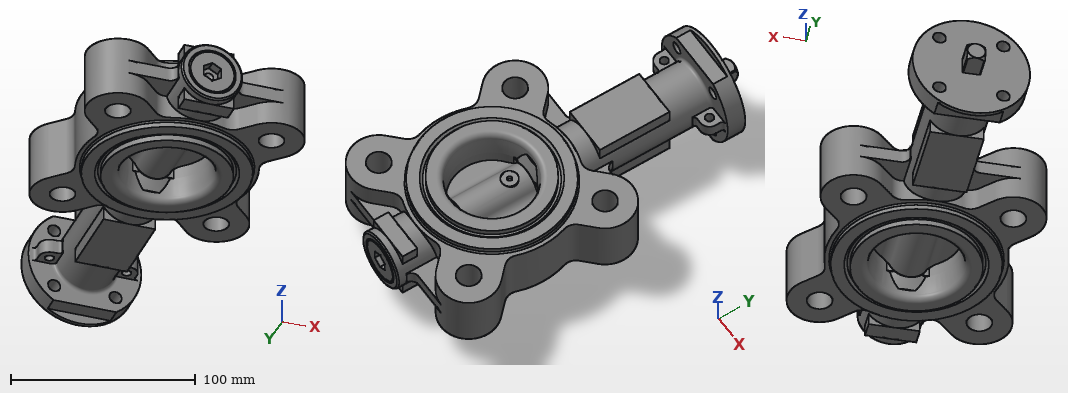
import cadquery as cq
import math


LENGTH = 229.0
WIDTH = 124.3
TOP_Y = 156.5
BOTTOM_Y = TOP_Y - LENGTH

NECK_DIA = 35.0
NECK_R = NECK_DIA / 2
BODY_R = 50.0
BODY_HALF_Z = NECK_R

BOLT_OFFSET = 44.2
LUG_R = WIDTH / 2 - BOLT_OFFSET
LUG_HOLE_DIA = 14.0
LUG_BLEND_R = 8.0
LUG_EDGE_Y = WIDTH / 2
HOLE_ANGLES = (45, 135, 225, 315)

RIB_HALF_Z = 8.0 / 2
RIB_BLEND_R = 4.5

RAISED_FACE_R = 93.0 / 2
RAISED_FACE_Z = 21.3
RAISED_FACE_FOOT = 1.0
SEAT_RECESS_R = 75.0 / 2
SEAT_RECESS_DEPTH = 1.5
SEAT_R = 72.0 / 2
SEAT_Z = 46.5 / 2

BORE_R = 25.0
BORE_MID_R = 26.3
BORE_BAND_Z = 8.7
BORE_LIP_R = 3.7
BORE_WALL_SAG = 0.2

DISC_R = 25.6
DISC_HALF_Z = 1.4
DISC_END_Y = 22.0
HUB_R = 11.2
HUB_BLEND_X = 16.0
PIN_Y = 11.5
PIN_DIA = 10.0
PIN_HOLE_DIA = 3.0
PIN_HOLE_DEPTH = 2.3

PAD_HALF_X = 12.4
PAD_FACE_R = 11.5
PAD_BASE_R = 18.8
PAD_BASE_Y = 25.9

FLANGE_R = 65.0 / 2
FLANGE_TOP_Y = 143.0
FLANGE_THICKNESS = 11.5
FLANGE_BOTTOM_Y = FLANGE_TOP_Y - FLANGE_THICKNESS
FLANGE_RIM = 2.3
FLANGE_FLAT_Z = 27.0
FLANGE_HOLE_DIA = 7.0
FLANGE_HOLE_CIRCLE_R = 25.0
FLANGE_FOOT = 2.0

EAR_X = 22.2
EAR_Y = 126.5
EAR_R = 12.1 / 2
EAR_HOLE_DIA = 5.0
EAR_BLEND_R = 1.8

STEM_SQUARE = 10.0
STEM_CORNER_DIA = 13.5
STEM_TIP_CHAMFER = 1.8

NAME_PAD_HALF_X = 14.9
NAME_PAD_Y = (60.2, 105.3)
CODE_PAD_HALF_X = 14.2
CODE_PAD_Y = (-67.3, -57.7)

END_CHAMFER = 1.0
PLUG_BORE_DIA = 27.0
PLUG_FACE_DIA = 25.0
PLUG_HEX_CORNERS = 11.5
PLUG_HEX_DEPTH = 5.7
PLUG_HOLE_DIA = 5.0
PLUG_DRILL_HALF_ANGLE = math.radians(59)


def cylinder_y(radius, y_from, y_to):
    """Cylinder on the stem axis."""
    return cq.Workplane("XZ", origin=(0, y_from, 0)).circle(radius).extrude(y_from - y_to)


def plate(sketch, half_z):
    """Extrude an XY outline symmetrically about the middle plane."""
    return sketch.extrude(half_z, both=True)


def block(half_x, y_range, half_z):
    """Box centred on X and Z, spanning a range of Y."""
    y_from, y_to = y_range
    size_y = y_to - y_from
    return cq.Workplane("XY").box(2 * half_x, size_y, 2 * half_z).translate((0, y_from + size_y / 2, 0))


def mirrored_x(shape):
    return shape.union(shape.mirror("YZ"))


def lug():
    """Lug along +X, ending in a round nose and blended into the body circle."""
    nose_x = BOLT_OFFSET * math.sqrt(2)
    blend_y = LUG_R + LUG_BLEND_R
    blend_x = math.sqrt((BODY_R + LUG_BLEND_R) ** 2 - blend_y**2)
    to_body = BODY_R / (BODY_R + LUG_BLEND_R)
    body_x = blend_x * to_body
    body_y = blend_y * to_body
    body_angle = math.atan2(blend_y, blend_x) - math.pi
    mid_angle = (body_angle - math.pi / 2) / 2
    mid_x = blend_x + LUG_BLEND_R * math.cos(mid_angle)
    mid_y = blend_y + LUG_BLEND_R * math.sin(mid_angle)
    outline = (
        cq.Workplane("XY")
        .moveTo(0, 0)
        .lineTo(body_x, body_y)
        .threePointArc((mid_x, mid_y), (blend_x, LUG_R))
        .lineTo(nose_x, LUG_R)
        .threePointArc((nose_x + LUG_R, 0), (nose_x, -LUG_R))
        .lineTo(blend_x, -LUG_R)
        .threePointArc((mid_x, -mid_y), (body_x, -body_y))
        .close()
    )
    return plate(outline, BODY_HALF_Z)


def body():
    solid = plate(cq.Workplane("XY").circle(BODY_R), BODY_HALF_Z)
    for angle in HOLE_ANGLES:
        solid = solid.union(lug().rotate((0, 0, 0), (0, 0, 1), angle))
    return solid


def lug_holes():
    centres = cq.Workplane("XY").rect(2 * BOLT_OFFSET, 2 * BOLT_OFFSET, forConstruction=True).vertices()
    return plate(centres.circle(LUG_HOLE_DIA / 2), BODY_HALF_Z)


def ribs():
    """Thin webs between the lugs, flared where they meet the neck."""
    web = block(BOLT_OFFSET, (BOLT_OFFSET, LUG_EDGE_Y), RIB_HALF_Z)
    flare = plate(
        cq.Workplane("XY")
        .moveTo(0, LUG_EDGE_Y)
        .lineTo(NECK_R + RIB_BLEND_R, LUG_EDGE_Y)
        .radiusArc((NECK_R, LUG_EDGE_Y + RIB_BLEND_R), RIB_BLEND_R)
        .lineTo(0, LUG_EDGE_Y + RIB_BLEND_R)
        .close(),
        RIB_HALF_Z,
    )
    upper = web.union(mirrored_x(flare))
    return upper.union(upper.mirror("XZ"))


def raised_faces():
    foot_z = BODY_HALF_Z + RAISED_FACE_FOOT
    recess_z = RAISED_FACE_Z - SEAT_RECESS_DEPTH
    recess_top_r = SEAT_RECESS_R + SEAT_RECESS_DEPTH
    upper = (
        cq.Workplane("XZ")
        .moveTo(0, 0)
        .lineTo(RAISED_FACE_R + RAISED_FACE_FOOT, 0)
        .lineTo(RAISED_FACE_R + RAISED_FACE_FOOT, BODY_HALF_Z)
        .lineTo(RAISED_FACE_R, foot_z)
        .lineTo(RAISED_FACE_R, RAISED_FACE_Z)
        .lineTo(recess_top_r, RAISED_FACE_Z)
        .lineTo(SEAT_RECESS_R, recess_z)
        .lineTo(SEAT_R, recess_z)
        .lineTo(SEAT_R, SEAT_Z)
        .lineTo(0, SEAT_Z)
        .close()
        .revolve(360, (0, 0), (0, 1))
    )
    return upper.union(upper.mirror("XY"))


def bore():
    """Bore with a rounded lip at each end and a narrow sealing band in the middle."""
    lip_z = SEAT_Z - BORE_LIP_R
    lip_r = BORE_MID_R + BORE_LIP_R
    wall_mid_r = (BORE_MID_R + BORE_R) / 2 - BORE_WALL_SAG
    half = (
        cq.Workplane("XZ")
        .moveTo(0, 0)
        .lineTo(BORE_R, 0)
        .lineTo(BORE_R, BORE_BAND_Z)
        .threePointArc((wall_mid_r, (BORE_BAND_Z + lip_z) / 2), (BORE_MID_R, lip_z))
        .radiusArc((lip_r, SEAT_Z), BORE_LIP_R)
        .lineTo(0, SEAT_Z)
        .close()
        .revolve(360, (0, 0), (0, 1))
    )
    return half.union(half.mirror("XY"))


def hub():
    """Round hub along Y, flowing into the disc through concave blends."""
    blend_r = (HUB_BLEND_X**2 + DISC_HALF_Z**2 - HUB_R**2) / (2 * (HUB_R - DISC_HALF_Z))
    blend_z = DISC_HALF_Z + blend_r
    to_hub = HUB_R / (HUB_R + blend_r)
    touch_x = HUB_BLEND_X * to_hub
    touch_z = blend_z * to_hub
    upper = (
        cq.Workplane("XZ", origin=(0, DISC_END_Y, 0))
        .moveTo(-HUB_BLEND_X, 0)
        .lineTo(-HUB_BLEND_X, DISC_HALF_Z)
        .radiusArc((-touch_x, touch_z), -blend_r)
        .threePointArc((0, HUB_R), (touch_x, touch_z))
        .radiusArc((HUB_BLEND_X, DISC_HALF_Z), -blend_r)
        .lineTo(HUB_BLEND_X, 0)
        .close()
        .extrude(2 * DISC_END_Y)
    )
    return upper.union(upper.mirror("XY"))


def disc():
    """Flat disc cut square at its two ends, with the hub and its retaining pin."""
    rim = plate(cq.Workplane("XY").circle(DISC_R), HUB_R)
    flat = block(DISC_R, (-DISC_END_Y, DISC_END_Y), DISC_HALF_Z)
    pin = cq.Workplane("XY", origin=(0, PIN_Y, 0)).circle(PIN_DIA / 2).extrude(HUB_R)
    pin_hole = (
        cq.Workplane("XY", origin=(0, PIN_Y, HUB_R - PIN_HOLE_DEPTH))
        .circle(PIN_HOLE_DIA / 2)
        .extrude(PIN_HOLE_DEPTH)
    )
    return flat.union(hub()).intersect(rim).union(pin).cut(pin_hole)


def bearing_pads():
    """Flats on the bore wall that close against the hub ends, with conical flanks."""
    flat = block(PAD_HALF_X, (DISC_END_Y, PAD_BASE_Y), BORE_BAND_Z)
    cone = (
        cq.Workplane("XY")
        .moveTo(0, DISC_END_Y)
        .lineTo(PAD_FACE_R, DISC_END_Y)
        .lineTo(PAD_BASE_R, PAD_BASE_Y)
        .lineTo(PAD_BASE_R, BODY_R)
        .lineTo(0, BODY_R)
        .close()
        .revolve(360, (0, 0), (0, 1))
    )
    inside = plate(cq.Workplane("XY").circle(SEAT_R), BODY_HALF_Z)
    pad = cone.union(flat).intersect(inside)
    return pad.union(pad.mirror("XZ"))


def neck():
    lower = cylinder_y(NECK_R, BOTTOM_Y, FLANGE_BOTTOM_Y).faces("<Y").chamfer(END_CHAMFER)
    name_pad = block(NAME_PAD_HALF_X, NAME_PAD_Y, NECK_R)
    code_pad = block(CODE_PAD_HALF_X, CODE_PAD_Y, NECK_R)
    return lower.union(name_pad).union(code_pad)


def plug_recesses():
    """Bevel groove around the plug face, its hexagon socket and the drilled centre."""
    bevel = (PLUG_BORE_DIA - PLUG_FACE_DIA) / 2
    groove = (
        cq.Workplane("XY")
        .moveTo(PLUG_FACE_DIA / 2, BOTTOM_Y)
        .lineTo(PLUG_BORE_DIA / 2, BOTTOM_Y)
        .lineTo(PLUG_BORE_DIA / 2, BOTTOM_Y + bevel)
        .close()
        .revolve(360, (0, 0), (0, 1))
    )
    socket = (
        cq.Workplane("XZ", origin=(0, BOTTOM_Y, 0))
        .transformed(rotate=(0, 0, 90))
        .polygon(6, PLUG_HEX_CORNERS)
        .extrude(-PLUG_HEX_DEPTH)
    )
    socket_y = BOTTOM_Y + PLUG_HEX_DEPTH
    hole_r = PLUG_HOLE_DIA / 2
    drill_depth = hole_r / math.tan(PLUG_DRILL_HALF_ANGLE)
    drill = cq.Solid.makeCone(hole_r, 0, drill_depth, cq.Vector(0, socket_y, 0), cq.Vector(0, 1, 0))
    return groove.union(socket).union(drill)


def flange():
    """Round flange with two flats below a thin full-round rim, and four bolt holes."""
    plate_y = FLANGE_TOP_Y - FLANGE_RIM
    rim = cylinder_y(FLANGE_R, plate_y, FLANGE_TOP_Y)
    thick = cylinder_y(FLANGE_R, FLANGE_BOTTOM_Y, plate_y)
    thick = thick.intersect(block(FLANGE_R, (FLANGE_BOTTOM_Y, plate_y), FLANGE_FLAT_Z))
    foot = (
        cq.Workplane("XY")
        .moveTo(0, FLANGE_BOTTOM_Y)
        .lineTo(NECK_R + FLANGE_FOOT, FLANGE_BOTTOM_Y)
        .radiusArc((NECK_R, FLANGE_BOTTOM_Y - FLANGE_FOOT), -FLANGE_FOOT)
        .lineTo(0, FLANGE_BOTTOM_Y - FLANGE_FOOT)
        .close()
        .revolve(360, (0, 0), (0, 1))
    )
    holes = (
        cq.Workplane("XZ", origin=(0, FLANGE_TOP_Y, 0))
        .polarArray(FLANGE_HOLE_CIRCLE_R, HOLE_ANGLES[0], 360, len(HOLE_ANGLES))
        .circle(FLANGE_HOLE_DIA / 2)
        .extrude(FLANGE_THICKNESS)
    )
    return rim.union(thick).union(foot).cut(holes)


def ears():
    """Pierced ears under the flange, blended into the flange and the neck."""
    outer_x = EAR_X + EAR_R
    lower_y = EAR_Y - EAR_R
    corner = EAR_R * math.sqrt(0.5)
    ear = plate(
        cq.Workplane("XY")
        .moveTo(0, FLANGE_BOTTOM_Y)
        .lineTo(outer_x + EAR_BLEND_R, FLANGE_BOTTOM_Y)
        .radiusArc((outer_x, FLANGE_BOTTOM_Y - EAR_BLEND_R), -EAR_BLEND_R)
        .lineTo(outer_x, EAR_Y)
        .threePointArc((EAR_X + corner, EAR_Y - corner), (EAR_X, lower_y))
        .lineTo(NECK_R + EAR_BLEND_R, lower_y)
        .radiusArc((NECK_R, lower_y - EAR_BLEND_R), -EAR_BLEND_R)
        .lineTo(0, lower_y - EAR_BLEND_R)
        .close(),
        RIB_HALF_Z,
    )
    hole = plate(cq.Workplane("XY").center(EAR_X, EAR_Y).circle(EAR_HOLE_DIA / 2), RIB_HALF_Z)
    return mirrored_x(ear.cut(hole))


def stem():
    """Square drive end with rounded corners and a bevelled tip."""
    square = block(STEM_SQUARE / 2, (FLANGE_TOP_Y, TOP_Y), STEM_SQUARE / 2)
    round_bar = cylinder_y(STEM_CORNER_DIA / 2, FLANGE_TOP_Y, TOP_Y).faces(">Y").chamfer(STEM_TIP_CHAMFER)
    return square.intersect(round_bar)


housing = body().union(neck()).union(ribs()).union(raised_faces())
housing = housing.cut(lug_holes()).cut(bore()).cut(plug_recesses())
result = housing.union(bearing_pads()).union(disc()).union(flange()).union(ears()).union(stem())